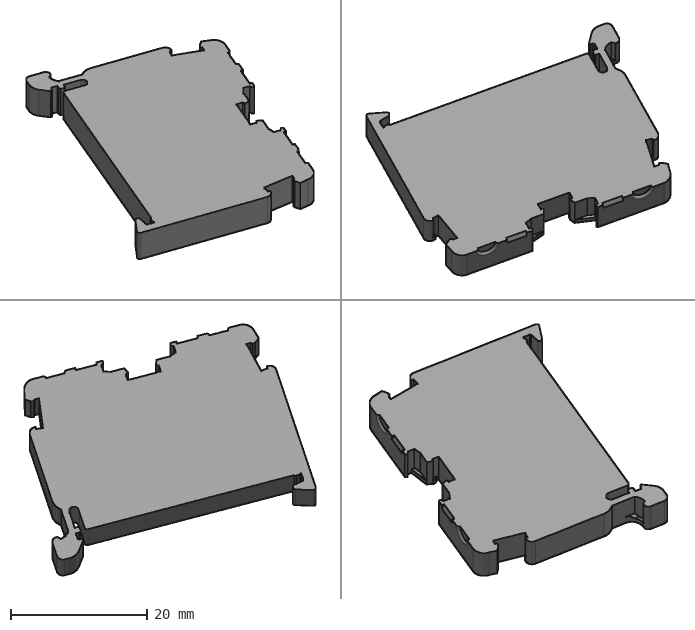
import cadquery as cq

length = 39.65
height = 30.05
thickness = 5.0

body_left = 1.95
body_bottom = 3.85
half_width = (length - body_left) / 2
centre_x = length - half_width
shoulder_top = 22.32
shoulder_radius = 1.0
split_y = 11.9

leg_left = 2.78
slot_left = 3.85
slot_width = 1.4
slot_top = 8.05
slot_right = slot_left + slot_width
slot_corner = 0.4

foot_top = 3.9
foot_corner = 0.75
foot_heel_radius = 0.9
foot_toe_x = 2.78
foot_toe_radius = 2.05
web_radius = 1.95
web_left = leg_left - web_radius
web_root = 3.17
web_top = 0.85
web_peak = 1.35
web_ramp_start = 2.3

hook_corner_y = 0.5
hook_radius = 0.4

head_inner = 5.55
gap_half_width = 2.55
gap_floor = 25.95
step_top = 27.95
ledge_top = 0.8

marker_width = 3.17
marker_offset = 7.75
marker_depth = 0.4
marker_drop = 0.7

screw_offset = 12.5
screw_floor_radius = 1.43
screw_depth = 0.4


def plate(sketch, top=thickness):
    """Close an outline drawn in the XY plane and extrude it up from Z = 0."""
    return sketch.close().extrude(top)


def round_corner(solid, x, y, radius):
    """Fillet the upright edge of the solid nearest to (x, y)."""
    edge = solid.edges("|Z").edges(cq.selectors.NearestToPointSelector((x, y, thickness / 2)))
    return edge.fillet(radius)


def point(offset, y):
    """Point in the right half, given by its offset from the centre line."""
    return (centre_x + offset, y)


def upper_half():
    """Right half of the upper body: shoulder, neck, head and centre gap."""
    outline = (
        cq.Workplane("XY")
        .moveTo(*point(0, split_y))
        .lineTo(*point(half_width, split_y))
        .lineTo(*point(half_width, shoulder_top - shoulder_radius))
        .radiusArc(point(half_width - shoulder_radius, shoulder_top), -shoulder_radius)
        .lineTo(*point(17.7, shoulder_top))
        .lineTo(*point(17.7, 21.95))
        .lineTo(*point(17.25, 21.93))
        .lineTo(*point(16.7, 21.8))
        .lineTo(*point(15.85, 26.72))
        .lineTo(*point(16.55, 26.72))
        .lineTo(*point(16.75, 26.45))
        .lineTo(*point(17.15, 26.55))
        .lineTo(*point(17.9, 27.12))
        .lineTo(*point(17.6, 28.4))
        .threePointArc(point(16.97, 29.6), point(15.82, height))
        .lineTo(*point(5.27, height))
        .threePointArc(point(5.1, 29.8), point(5.25, 29.58))
        .lineTo(*point(head_inner, 29.42))
        .lineTo(*point(head_inner, 28.35))
        .lineTo(*point(4.52, step_top))
        .lineTo(*point(2.45, step_top))
        .lineTo(*point(2.1, 27.1))
        .lineTo(*point(gap_half_width, 26.95))
        .lineTo(*point(gap_half_width, gap_floor))
        .lineTo(*point(0, gap_floor))
    )
    return plate(outline)


def head_ledges():
    """Low ledges beside the head and on the shoulder, below the full-height outline."""
    ramp = [(head_inner, 28.83), (2.45, step_top), (head_inner, step_top)]
    nose_lip = [(2.1, 27.1), (2.15, 26.65), (gap_half_width, 26.13), (gap_half_width, 27.1)]
    shoulder_lip = [(17.7, shoulder_top), (17.33, 22.25), (17.25, 21.93), (17.7, 21.95)]
    ledges = cq.Workplane("XY")
    for corners in (ramp, nose_lip, shoulder_lip):
        outline = cq.Workplane("XY").polyline([point(*corner) for corner in corners])
        ledges = ledges.add(plate(outline, ledge_top))
    return ledges.combine()


def marker_recess():
    """Sloped notch along the upper edge of the head."""
    return (
        cq.Workplane("YZ", origin=(centre_x + marker_offset - marker_width / 2, 0, 0))
        .moveTo(height - marker_depth, thickness)
        .lineTo(height, thickness)
        .lineTo(height, thickness - marker_drop)
        .close()
        .extrude(marker_width)
    )


def screw_recess():
    """Round dish with a rounded rim, sunk into the head's outer face."""
    floor_y = height - screw_depth
    rim_x = screw_floor_radius + screw_depth
    rim_arc = screw_depth * 0.5 ** 0.5
    return (
        cq.Workplane("XY", origin=(centre_x + screw_offset, 0, thickness))
        .moveTo(0, floor_y)
        .lineTo(screw_floor_radius, floor_y)
        .threePointArc((rim_x - rim_arc, floor_y + rim_arc), (rim_x, height))
        .lineTo(0, height)
        .close()
        .revolve(360, (0, 0, 0), (0, 1, 0))
    )


def lower_body():
    """Lower body with the slot that frees the spring leg."""
    outline = (
        cq.Workplane("XY")
        .moveTo(length, split_y)
        .lineTo(body_left, split_y)
        .lineTo(body_left, 9.95)
        .threePointArc((2.1, 9.05), (2.55, 8.35))
        .lineTo(leg_left, 8.1)
        .lineTo(leg_left, body_bottom)
        .lineTo(slot_left, body_bottom)
        .lineTo(slot_left, slot_top - slot_width / 2)
        .threePointArc(
            (slot_left + slot_width / 2, slot_top),
            (slot_right, slot_top - slot_width / 2),
        )
        .lineTo(slot_right, body_bottom + slot_corner)
        .radiusArc((slot_right + slot_corner, body_bottom), -slot_corner)
        .lineTo(length, body_bottom)
    )
    return plate(outline)


def foot():
    """Foot with its two catches, at the end of the spring leg."""
    outline = (
        cq.Workplane("XY")
        .moveTo(0, 0)
        .lineTo(foot_toe_x, 0)
        .lineTo(4.45, 2.3)
        .lineTo(4.45, 2.4)
        .lineTo(4.3, 2.58)
        .lineTo(3.93, 2.58)
        .lineTo(3.73, 2.75)
        .lineTo(3.73, 3.7)
        .lineTo(4.25, 3.7)
        .lineTo(4.55, 3.85)
        .lineTo(4.55, 4.5)
        .lineTo(4.4, 4.65)
        .lineTo(leg_left, 4.65)
        .lineTo(leg_left, 4.32)
        .threePointArc((2.15, 3.73), (1.35, 3.45))
        .lineTo(0.95, foot_top)
        .lineTo(0, foot_top)
    )
    solid = plate(outline)
    solid = round_corner(solid, 0, foot_top, foot_corner)
    solid = round_corner(solid, 0, 0, foot_heel_radius)
    return round_corner(solid, foot_toe_x, 0, foot_toe_radius)


def foot_web():
    """Low web in the corner of foot and leg, with a ramp rising to the leg."""
    arc_y = foot_top + web_radius
    arc_drop = web_radius * 0.5 ** 0.5
    outline = (
        cq.Workplane("XY")
        .moveTo(web_left, foot_top)
        .threePointArc((web_left + arc_drop, arc_y - arc_drop), (leg_left, arc_y))
        .lineTo(leg_left, web_root)
        .lineTo(web_left, web_root)
    )
    above_ramp = (
        cq.Workplane("XZ")
        .moveTo(0, web_top)
        .lineTo(web_ramp_start, web_top)
        .lineTo(leg_left, web_peak)
        .lineTo(leg_left, thickness)
        .lineTo(0, thickness)
        .close()
        .extrude(-height)
    )
    return plate(outline, web_peak).cut(above_ramp)


def rail_hook():
    """Fixed hook below the right end of the body, with a small bump beside it."""
    outline = (
        cq.Workplane("XY")
        .moveTo(length, body_bottom)
        .lineTo(38.25, body_bottom)
        .lineTo(38.25, 2.75)
        .lineTo(38.05, 2.58)
        .lineTo(36.65, 2.3)
        .threePointArc((36.4, 1.95), (36.65, 1.55))
        .lineTo(length, hook_corner_y)
    )
    bump = (
        cq.Workplane("XY")
        .polyline([(37.15, body_bottom), (37.4, 3.55), (37.55, 3.7), (37.95, 3.7), (38.1, body_bottom)])
    )
    hook = round_corner(plate(outline), length, hook_corner_y, hook_radius)
    return hook.union(plate(bump))


half = upper_half().union(head_ledges()).cut(marker_recess()).cut(screw_recess())
other_half = half.mirror("YZ", (centre_x, 0, 0))

result = half.union(other_half)
for piece in (lower_body(), foot(), foot_web(), rail_hook()):
    result = result.union(piece)
result = result.clean()